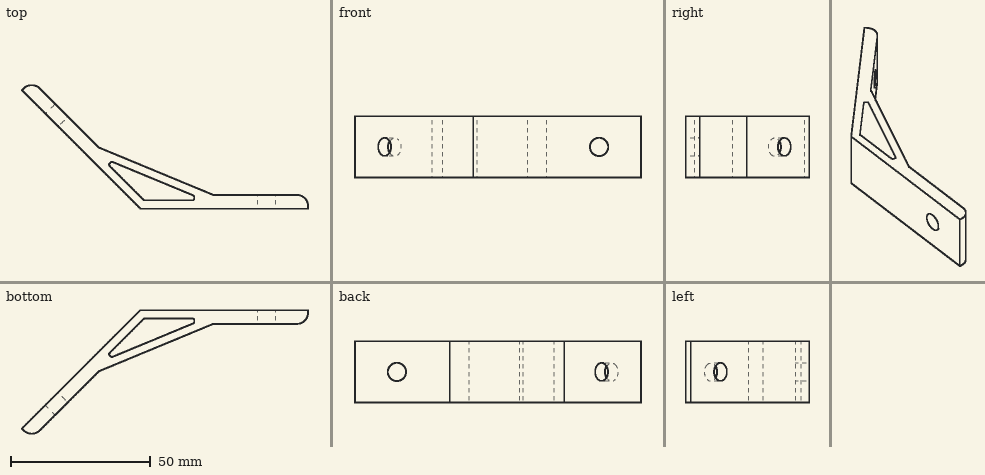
import cadquery as cq
import math

arm_length = 60.0
arm_thickness = 5.0
height = 22.0
bend_angle = 45
tip_radius = 4.1
hole_distance = 45.0
hole_diameter = 6.5
brace_reach = 26.0
floor_thickness = 3.1
brace_thickness = 3.0
window_reach = 19.3
window_radius = 0.6

opening_half_angle = math.radians(180 - bend_angle) / 2
brace_slope = math.tan(math.radians(bend_angle / 2))


def mirrored(point):
    """Reflect an XY point across the plane bisecting the bend."""
    x, y = point
    cosine = math.cos(2 * opening_half_angle)
    sine = math.sin(2 * opening_half_angle)
    return (x * cosine + y * sine, x * sine - y * cosine)


def on_bisector(offset):
    """Point where lines offset inward from both outer faces meet."""
    return (offset / math.tan(opening_half_angle), offset)


def symmetric_prism(half_outline, start):
    """Extrude an outline from its half, starting at a bisector point."""
    other_half = [mirrored(point) for point in reversed(half_outline)]
    outline = [start] + half_outline + other_half
    return cq.Workplane("XY").polyline(outline).close().extrude(height)


def vertical_edge_at(point):
    """Select the Z-parallel edge through an XY point."""
    return cq.selectors.NearestToPointSelector((*point, height / 2))


def fillet_pair(body, point, radius):
    """Round the vertical edge at a point and its mirror image."""
    for corner in (point, mirrored(point)):
        body = body.edges("|Z").edges(vertical_edge_at(corner)).fillet(radius)
    return body


def make_body():
    """Both arms and the solid brace between them."""
    inner_tip = (arm_length, arm_thickness)
    half_outline = [(arm_length, 0), inner_tip, (brace_reach, arm_thickness)]
    body = symmetric_prism(half_outline, (0, 0))
    return fillet_pair(body, inner_tip, tip_radius)


def make_window():
    """Triangular opening with blunt, rounded ends."""
    brace_drop = brace_thickness / math.cos(math.radians(bend_angle / 2))
    top_y = arm_thickness + (brace_reach - window_reach) * brace_slope - brace_drop
    blunt_top = (window_reach, top_y)
    blunt_bottom = (window_reach, floor_thickness)
    half_outline = [blunt_bottom, blunt_top]
    window = symmetric_prism(half_outline, on_bisector(floor_thickness))
    for corner in half_outline:
        window = fillet_pair(window, corner, window_radius)
    return window


def make_hole(along, inward):
    """Cylinder straight through the arm running in the given direction."""
    center = along * hole_distance + cq.Vector(0, 0, height / 2)
    return cq.Solid.makeCylinder(hole_diameter / 2, arm_thickness, center, inward)


result = make_body().cut(make_window())
arm_direction = (1, 0)
inward_direction = (0, 1)
for along, inward in (
    (arm_direction, inward_direction),
    (mirrored(arm_direction), mirrored(inward_direction)),
):
    result = result.cut(make_hole(cq.Vector(*along), cq.Vector(*inward)))